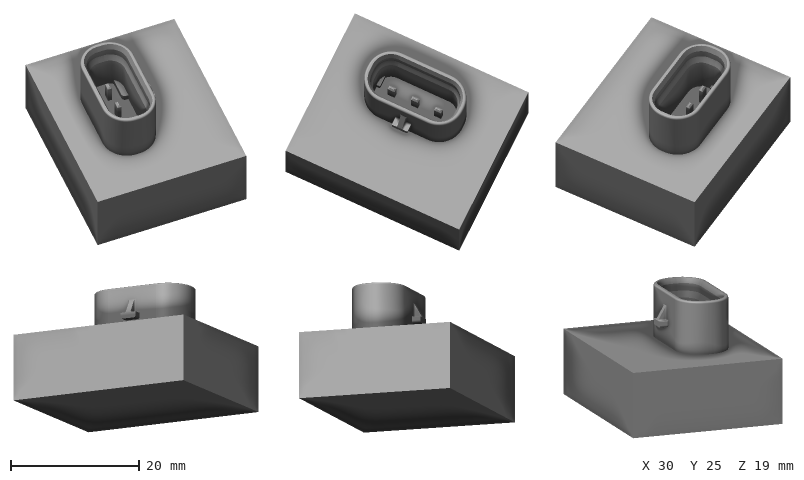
import cadquery as cq

base_length = 30.0
base_width = 25.0
base_height = 10.5

shroud_y = -3.0
shroud_length = 16.55
shroud_width = 8.6
shroud_height = 8.5
shroud_corner_radius = 4.05
rim_fillet = 0.3

cavity_flat_x = 8.88
cavity_flat_y = 1.0
mouth_radius = 3.2
neck_radius = 2.82
seat_radius = 2.4
split_radius = 2.37
floor_radius = 2.28
mouth_depth = 0.85
neck_depth = 2.05
seat_depth = 3.05
split_depth = 3.87

pin_pitch = 4.02
pin_count = 3
pin_length = 1.2
pin_width = 0.65
pin_height = 3.0
pin_tip_chamfer = 0.27

key_height = 0.9
long_key_end_x = -2.6
long_key_edge_y = 1.8
long_key_corner_radius = 0.6
short_key_edge_x = 6.15
short_key_edge_y = -0.1

latch_width = 2.7
latch_reach = 1.38
latch_embed = 0.3
latch_bottom = 3.05
latch_block_top = 4.02
latch_top = 6.35
latch_rib_width = 0.85
latch_root_fillet = 0.27
latch_bottom_fillet = 0.35


def rounded_block(length, width, height, radius):
    """Upright block with rounded vertical edges, standing on Z = 0."""
    block = cq.Workplane("XY").box(length, width, height, centered=(True, True, False))
    return block.edges("|Z").fillet(radius)


def cavity_section(radius):
    """Rounded rectangle around the cavity's common corner centres."""
    length = cavity_flat_x + 2 * radius
    width = cavity_flat_y + 2 * radius
    return cq.Sketch().rect(length, width).vertices().fillet(radius)


def cavity_stage(upper_depth, upper_radius, lower_depth, lower_radius):
    """Part of the cavity between two depths below the shroud rim."""
    lower_z = shroud_height - lower_depth
    upper_z = shroud_height - upper_depth
    lower = cavity_section(lower_radius).moved(cq.Location(cq.Vector(0, 0, lower_z)))
    upper = cavity_section(upper_radius).moved(cq.Location(cq.Vector(0, 0, upper_z)))
    return cq.Workplane("XY").placeSketch(lower, upper).loft(ruled=True)


def make_cavity():
    stages = [
        (0, mouth_radius),
        (mouth_depth, neck_radius),
        (neck_depth, neck_radius),
        (seat_depth, seat_radius),
        (split_depth, split_radius),
        (shroud_height, floor_radius),
    ]
    cavity = cq.Workplane("XY")
    for upper, lower in zip(stages, stages[1:]):
        cavity = cavity.union(cavity_stage(*upper, *lower))
    return cavity


def make_shroud():
    shroud = rounded_block(shroud_length, shroud_width, shroud_height, shroud_corner_radius)
    return shroud.faces(">Z").edges().fillet(rim_fillet)


def make_pin():
    pin = cq.Workplane("XY").box(pin_length, pin_width, pin_height, centered=(True, True, False))
    return pin.faces(">Z").edges().chamfer(pin_tip_chamfer)


def make_keys():
    """Two floor keys that merge into the shroud wall."""
    half_length = shroud_length / 2
    half_width = shroud_width / 2
    long_key = (
        cq.Workplane("XY")
        .moveTo(-half_length, long_key_edge_y)
        .lineTo(long_key_end_x, long_key_edge_y)
        .lineTo(long_key_end_x, half_width)
        .lineTo(-half_length, half_width)
        .close()
        .extrude(key_height)
        .edges("|Z and >X and <Y")
        .fillet(long_key_corner_radius)
    )
    short_key = (
        cq.Workplane("XY")
        .moveTo(short_key_edge_x, short_key_edge_y)
        .lineTo(half_length, short_key_edge_y)
        .lineTo(half_length, -half_width)
        .lineTo(short_key_edge_x, -half_width)
        .close()
        .extrude(key_height)
    )
    envelope = rounded_block(shroud_length, shroud_width, key_height, shroud_corner_radius)
    return long_key.union(short_key).intersect(envelope)


def latch_slice(width, profile):
    """Prism across X, centred, from a (Y, Z) profile."""
    return cq.Workplane("YZ").polyline(profile).close().extrude(width / 2, both=True)


def add_latch(shroud):
    """Join the latch block and its rib to the shroud, round the inner corners, then slope the rib."""
    wall = shroud_width / 2
    root = wall - latch_embed
    nose = wall + latch_reach
    blank_top = latch_top + 2 * latch_root_fillet
    block = latch_slice(latch_width, [
        (root, latch_bottom), (nose, latch_bottom), (nose, latch_block_top), (root, latch_block_top)])
    block = block.edges("|Y and <Z").fillet(latch_bottom_fillet)
    rib = latch_slice(latch_rib_width, [
        (root, latch_bottom), (nose, latch_bottom), (nose, blank_top), (root, blank_top)])
    joined = shroud.union(block).union(rib)
    half_rib = latch_rib_width / 2
    middle_y = wall + latch_reach / 2
    middle_z = (latch_block_top + latch_top) / 2
    pad_x = (half_rib + latch_width / 2) / 2
    inner_corners = []
    for side in (-1, 1):
        inner_corners += [
            (side * half_rib, middle_y, latch_block_top),
            (side * half_rib, wall, middle_z),
            (side * pad_x, wall, latch_block_top),
        ]
    edges = []
    for point in inner_corners:
        edges += joined.edges(cq.NearestToPointSelector(point)).vals()
    rounded = joined.newObject(edges).fillet(latch_root_fillet)
    above_slope = latch_slice(latch_width, [
        (wall, latch_top), (nose, latch_block_top), (nose, blank_top), (wall, blank_top)])
    return rounded.cut(above_slope)


base = cq.Workplane("XY").box(base_length, base_width, base_height).translate((0, 0, -base_height / 2))
connector = add_latch(make_shroud()).cut(make_cavity()).union(make_keys())
for index in range(pin_count):
    pin_x = (index - (pin_count - 1) / 2) * pin_pitch
    connector = connector.union(make_pin().translate((pin_x, 0, 0)))

result = base.union(connector.translate((0, shroud_y, 0)))